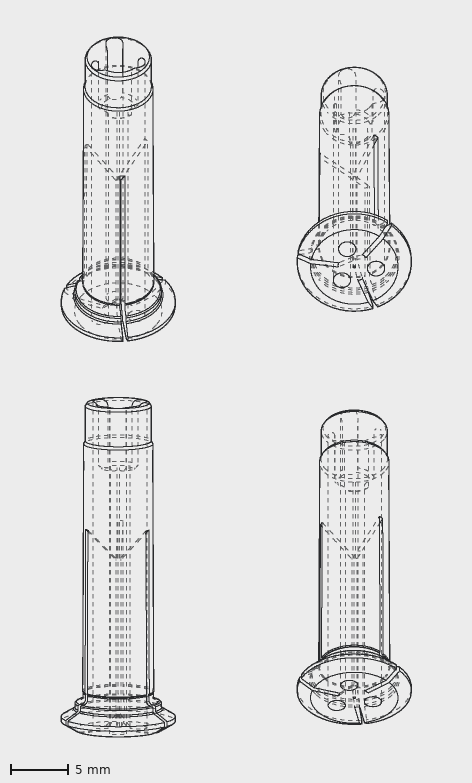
import cadquery as cq
import math

height = 29.0

flange_diameter = 10.0
flange_radius = flange_diameter / 2
flange_bottom_radius = 3.83
rim_bottom_z = 0.72
rim_top_z = 1.2
rim_chamfer = 0.05
flange_top_radius = 3.92
flange_top_z = 1.8

collar_radius = 3.8
collar_bottom_z = 1.95
collar_top_z = 2.46
collar_chamfer = 0.12

neck_radius = 3.1
neck_fillet = 0.4
neck_top_z = 3.25

groove_radius = 3.05
groove_z = 3.34

shaft_bottom_radius = 3.13
shaft_bottom_z = 3.42
shaft_top_radius = 3.05
shaft_top_z = 25.38

head_radius = 2.9
head_bottom_z = 25.65
head_chamfer = 0.17
head_chamfer_height = 0.3

socket_radius = 1.75
socket_floor_radius = 1.45
socket_depth = 5.8
mouth_fillet = 0.58

side_hole_diameter = 1.5
side_hole_circle_radius = 1.85
side_hole_circle_x = -0.12
centre_hole_diameter = 0.2

finger_count = 3
slot_width = 0.44
slot_top_z = 17.98
ramp_peak_z = 1.42
ramp_foot_radius = 1.42


def arc_sag(radius):
    """Offset of a quarter arc's midpoint from the two tangent lines it joins."""
    return radius * (1 - math.sqrt(0.5))


def make_body():
    """Revolve the outer profile about the Z axis."""
    neck_sag = arc_sag(neck_fillet)
    return (
        cq.Workplane("XZ")
        .lineTo(flange_bottom_radius, 0)
        .lineTo(flange_radius - rim_chamfer, rim_bottom_z - rim_chamfer)
        .lineTo(flange_radius, rim_bottom_z)
        .lineTo(flange_radius, rim_top_z - rim_chamfer)
        .lineTo(flange_radius - rim_chamfer, rim_top_z)
        .lineTo(flange_top_radius, flange_top_z)
        .lineTo(collar_radius, collar_bottom_z)
        .lineTo(collar_radius, collar_top_z - collar_chamfer)
        .lineTo(collar_radius - collar_chamfer, collar_top_z)
        .lineTo(neck_radius + neck_fillet, collar_top_z)
        .threePointArc(
            (neck_radius + neck_sag, collar_top_z + neck_sag),
            (neck_radius, collar_top_z + neck_fillet),
        )
        .lineTo(neck_radius, neck_top_z)
        .lineTo(groove_radius, groove_z)
        .lineTo(shaft_bottom_radius, shaft_bottom_z)
        .lineTo(shaft_top_radius, shaft_top_z)
        .lineTo(head_radius, head_bottom_z)
        .lineTo(head_radius, height - head_chamfer_height)
        .lineTo(head_radius - head_chamfer, height)
        .lineTo(0, height)
        .close()
        .revolve(360, (0, 0), (0, 1))
    )


def make_socket():
    """Socket with a rounded mouth and a chamfered floor edge."""
    floor_z = height - socket_depth
    floor_chamfer = socket_radius - socket_floor_radius
    mouth_sag = arc_sag(mouth_fillet)
    return (
        cq.Workplane("XZ")
        .moveTo(0, floor_z)
        .lineTo(socket_floor_radius, floor_z)
        .lineTo(socket_radius, floor_z + floor_chamfer)
        .lineTo(socket_radius, height - mouth_fillet)
        .threePointArc(
            (socket_radius + mouth_sag, height - mouth_sag),
            (socket_radius + mouth_fillet, height),
        )
        .lineTo(0, height)
        .close()
        .revolve(360, (0, 0), (0, 1))
    )


def make_slot(angle):
    """Radial slot from the axis outward; its 45 degree roof rises and its floor ramp falls outward."""
    outer_reach = 2 * flange_radius
    shaft_slope = (shaft_bottom_radius - shaft_top_radius) / (shaft_top_z - shaft_bottom_z)
    roof_outer_radius = shaft_bottom_radius - shaft_slope * (slot_top_z - shaft_bottom_z)
    roof_inner_z = slot_top_z - roof_outer_radius
    return (
        cq.Workplane("XZ")
        .moveTo(0, ramp_peak_z)
        .lineTo(ramp_foot_radius, 0)
        .lineTo(outer_reach, 0)
        .lineTo(outer_reach, roof_inner_z + outer_reach)
        .lineTo(0, roof_inner_z)
        .close()
        .extrude(slot_width / 2, both=True)
        .rotate((0, 0, 0), (0, 0, 1), angle)
    )


def make_side_holes():
    """Through holes, one along each finger."""
    return (
        cq.Workplane("XY", origin=(side_hole_circle_x, 0, 0))
        .polarArray(side_hole_circle_radius, 0, 360, finger_count)
        .circle(side_hole_diameter / 2)
        .extrude(height)
    )


centre_hole = cq.Workplane("XY").circle(centre_hole_diameter / 2).extrude(height)

result = make_body().cut(make_socket()).cut(make_side_holes()).cut(centre_hole)

slot_pitch = 360 / finger_count
for index in range(finger_count):
    result = result.cut(make_slot(slot_pitch * (index + 0.5)))